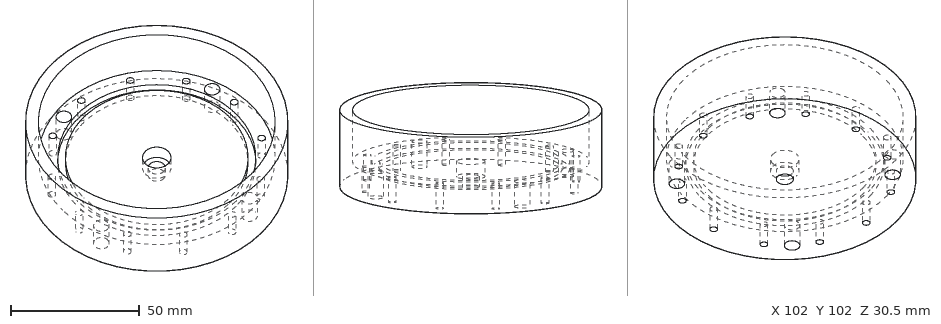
import cadquery as cq

outer_diameter = 102.0
height = 30.5
bore_diameter = 92.0
floor_thickness = 10.0

groove_outer_diameter = 77.0
groove_inner_diameter = 71.0
groove_depth = 3.0

centre_hole_diameter = 6.6
counterbore_diameter = 11.0
counterbore_depth = 5.9

hole_circle_radius = 42.0
small_hole_diameter = 3.0
small_hole_count = 12
large_hole_diameter = 6.0
large_hole_count = 4
large_hole_start_angle = 75.0


def make_cup():
    """Round cup with a flat floor, its base resting on Z = 0."""
    body = cq.Workplane("XY").circle(outer_diameter / 2).extrude(height)
    bore = (
        cq.Workplane("XY", origin=(0, 0, floor_thickness))
        .circle(bore_diameter / 2)
        .extrude(height - floor_thickness)
    )
    return body.cut(bore)


def make_groove():
    """Ring of material removed from the floor."""
    return (
        cq.Workplane("XY", origin=(0, 0, floor_thickness))
        .circle(groove_outer_diameter / 2)
        .circle(groove_inner_diameter / 2)
        .extrude(-groove_depth)
    )


def make_centre_hole():
    """Through hole with a counterbore opening into the cup."""
    through_hole = cq.Workplane("XY").circle(centre_hole_diameter / 2).extrude(floor_thickness)
    counterbore = (
        cq.Workplane("XY", origin=(0, 0, floor_thickness))
        .circle(counterbore_diameter / 2)
        .extrude(-counterbore_depth)
    )
    return through_hole.union(counterbore)


def make_hole_ring(diameter, count, start_angle):
    """Evenly spaced through holes on the common hole circle."""
    return (
        cq.Workplane("XY")
        .polarArray(hole_circle_radius, start_angle, 360, count)
        .circle(diameter / 2)
        .extrude(floor_thickness)
    )


result = (
    make_cup()
    .cut(make_groove())
    .cut(make_centre_hole())
    .cut(make_hole_ring(small_hole_diameter, small_hole_count, 0))
    .cut(make_hole_ring(large_hole_diameter, large_hole_count, large_hole_start_angle))
)